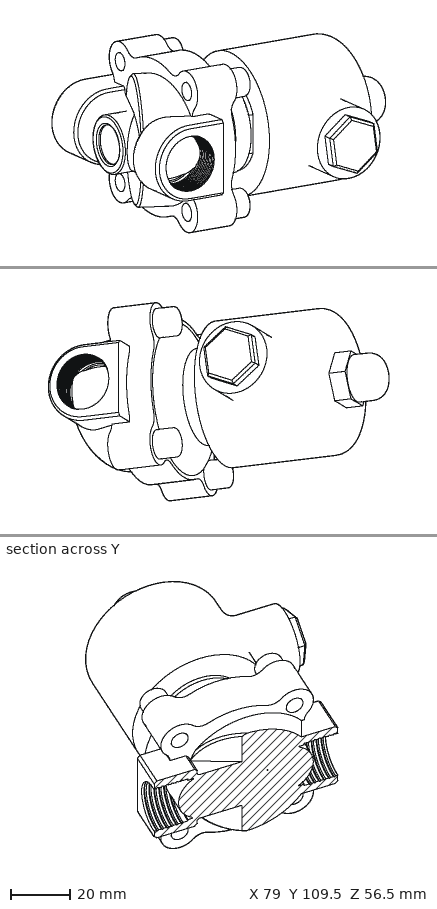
import cadquery as cq
import math


port_end = 34.0
port_start = 18.0
port_radius = 13.25
port_top = 13.2
port_edge_chamfer = 1.0
port_root_fillet = 1.0
pipe_radius = 10.2
bore_radius = 9.6
bore_depth = 12.5
passage_radius = 9.0
thread_pitch = 1.8
thread_depth = 0.4
groove_width = 0.8
thread_count = 6

post_radius = 10.0
post_center_offset = 15.0
post_end = -8.1

flange_bottom = 6.6
flange_top = 22.2
flange_radius = 27.4
lobe_offset = 21.24
lobe_radius = 7.0
lobe_blend_radius = 5.0
screw_hole_radius = 3.1
screw_head_radius = 5.0
screw_head_top = 29.1
screw_head_fillet = 0.8

pipe_top = flange_bottom + 1.0

bowl_radius = 22.6
bowl_tilt = 24.7
bowl_face_y = -1.4
bowl_length = 40.0
bowl_chamfer = 0.8

boss_radius = 10.2
boss_end = -11.5
boss_chamfer = 0.6
recess_radius = 6.8
recess_depth = 1.2
recess_chamfer = 0.6

bonnet_base_radius = 26.0
bonnet_radius = 16.5
bonnet_top = 35.2
neck_radius = 16.0
neck_flat_offset = 14.5

coil_bottom = 37.2
coil_top = 80.1
coil_radius = 25.0
coil_fillet = 5.0
nut_corner_radius = 9.7
nut_top = 86.1
cap_radius = 8.1
cap_top = 96.24
cap_fillet = 5.0

outlet_y = 58.75
outlet_radius = 12.5
outlet_end = 41.0
outlet_fillet = 4.2
gland_end = 45.0
gland_corner_radius = 10.25
gland_turn = 38.0
gland_chamfer = 0.9


def plane_at_y(y):
    """Sketch plane square to Y: local x is X, local y is Z, extrusion runs toward -Y."""
    return cq.Workplane("XZ", origin=(0, y, 0))


def rod_y(radius, start, end):
    return plane_at_y(end).circle(radius).extrude(end - start)


def polar(radius, angle, center=(0.0, 0.0)):
    return (center[0] + radius * math.cos(angle), center[1] + radius * math.sin(angle))


def direction(start, end):
    return math.atan2(end[1] - start[1], end[0] - start[0])


def u_section(radius, top, start, end):
    """U profile, rounded toward -Y and flat at the top, extruded along X."""
    return (
        cq.Workplane("YZ", origin=(start, 0, 0))
        .moveTo(top, -radius)
        .lineTo(0, -radius)
        .threePointArc((-radius, 0), (0, radius))
        .lineTo(top, radius)
        .close()
        .extrude(end - start)
    )


def make_port():
    port = u_section(port_radius, port_top, port_start, port_end)
    rounded_edges = cq.selectors.BoxSelector(
        (port_start - 1, -port_radius - 1, -port_radius - 1),
        (port_end + 1, port_top - 1, port_radius + 1),
    )
    port = port.faces(">X or <X").edges(rounded_edges).chamfer(port_edge_chamfer)
    return port


def make_pipe():
    """Half of the pipe with its port, blended where they meet, and its mirror image."""
    pipe = u_section(pipe_radius, pipe_top, 0, port_end - bore_depth)
    half = pipe.union(make_port())
    junction = cq.selectors.BoxSelector(
        (port_start - 0.1, -pipe_radius - 0.1, -pipe_radius - 0.1),
        (port_start + 0.1, pipe_top + 0.1, pipe_radius + 0.1),
        boundingbox=True,
    )
    half = half.edges(junction).edges("not |Z").fillet(port_root_fillet)
    return half.union(half.mirror("YZ"))


def make_bowl():
    tilt = math.radians(bowl_tilt)
    face = cq.Plane(
        origin=(0, bowl_face_y, 0),
        xDir=(math.cos(tilt), -math.sin(tilt), 0),
        normal=(math.sin(tilt), math.cos(tilt), 0),
    )
    bowl = cq.Workplane(face).circle(bowl_radius).extrude(bowl_length)
    bowl = bowl.faces("<Y").edges().chamfer(bowl_chamfer)
    below_flange = rod_y(2 * bowl_radius, -bowl_length, flange_bottom)
    return bowl.intersect(below_flange)


def make_boss():
    boss = rod_y(boss_radius, boss_end, 0)
    return boss.faces("<Y").edges().chamfer(boss_chamfer)


def make_flange():
    """Round flange blended by concave arcs into a lobe at each corner."""
    lobe_distance = lobe_offset * math.sqrt(2)
    blend_distance = flange_radius + lobe_blend_radius
    blend_to_lobe = lobe_radius + lobe_blend_radius
    blend_angle = math.acos(
        (lobe_distance**2 + blend_distance**2 - blend_to_lobe**2) / (2 * lobe_distance * blend_distance)
    )
    quarter = math.pi / 2
    first_angle = quarter / 2
    outline = plane_at_y(flange_top).moveTo(*polar(flange_radius, first_angle - blend_angle))
    for corner in range(4):
        lobe_angle = first_angle + corner * quarter
        lobe_center = polar(lobe_distance, lobe_angle)
        blend_in = polar(blend_distance, lobe_angle - blend_angle)
        blend_out = polar(blend_distance, lobe_angle + blend_angle)
        in_start = polar(flange_radius, lobe_angle - blend_angle)
        in_end = polar(lobe_radius, direction(lobe_center, blend_in), lobe_center)
        out_start = polar(lobe_radius, direction(lobe_center, blend_out), lobe_center)
        out_end = polar(flange_radius, lobe_angle + blend_angle)
        in_chord_middle = ((in_start[0] + in_end[0]) / 2, (in_start[1] + in_end[1]) / 2)
        out_chord_middle = ((out_start[0] + out_end[0]) / 2, (out_start[1] + out_end[1]) / 2)
        in_middle = polar(lobe_blend_radius, direction(blend_in, in_chord_middle), blend_in)
        out_middle = polar(lobe_blend_radius, direction(blend_out, out_chord_middle), blend_out)
        outline = (
            outline.threePointArc(in_middle, in_end)
            .threePointArc(polar(lobe_distance + lobe_radius, lobe_angle), out_start)
            .threePointArc(out_middle, out_end)
            .threePointArc(
                polar(flange_radius, lobe_angle + first_angle),
                polar(flange_radius, lobe_angle + quarter - blend_angle),
            )
        )
    return outline.close().extrude(flange_top - flange_bottom)


def at_screws(plane):
    return plane.rect(2 * lobe_offset, 2 * lobe_offset, forConstruction=True).vertices()


def make_screw_heads():
    heads = at_screws(plane_at_y(screw_head_top)).circle(screw_head_radius)
    heads = heads.extrude(screw_head_top - flange_top)
    return heads.faces(">Y").edges().fillet(screw_head_fillet)


def make_screw_holes():
    holes = at_screws(plane_at_y(flange_top)).circle(screw_hole_radius)
    return holes.extrude(flange_top - flange_bottom)


def make_bonnet():
    """Cone on the flange, a cylinder above it, then a neck with two flats."""
    cone_and_cylinder = (
        cq.Workplane("XY")
        .moveTo(0, flange_top)
        .lineTo(bonnet_base_radius, flange_top)
        .lineTo(bonnet_radius, screw_head_top)
        .lineTo(bonnet_radius, bonnet_top)
        .lineTo(0, bonnet_top)
        .close()
        .revolve(360, (0, 0), (0, 1))
    )
    neck_height = coil_bottom - bonnet_top
    flats = plane_at_y(coil_bottom).rect(2 * neck_flat_offset, 2 * neck_radius).extrude(neck_height)
    neck = rod_y(neck_radius, bonnet_top, coil_bottom).intersect(flats)
    return cone_and_cylinder.union(neck)


def make_coil():
    coil = rod_y(coil_radius, coil_bottom, coil_top).faces(">Y").edges().fillet(coil_fillet)
    outlet = cq.Workplane("YZ").center(outlet_y, 0).circle(outlet_radius).extrude(outlet_end)
    coil = coil.union(outlet)
    joint = cq.selectors.BoxSelector(
        (0, outlet_y - outlet_radius - 1, -outlet_radius - 1),
        (outlet_end - 1, outlet_y + outlet_radius + 1, outlet_radius + 1),
        boundingbox=True,
    )
    return coil.edges(joint).edges("not #X").edges("not |X").fillet(outlet_fillet)


def make_gland():
    corners = [polar(gland_corner_radius, math.radians(gland_turn + 60 * i)) for i in range(6)]
    gland = cq.Workplane("YZ", origin=(outlet_end, outlet_y, 0)).polyline(corners).close()
    return gland.extrude(gland_end - outlet_end).faces(">X").edges().chamfer(gland_chamfer)


def make_nut_and_cap():
    nut = plane_at_y(nut_top).polygon(6, 2 * nut_corner_radius).extrude(nut_top - coil_top)
    cap = rod_y(cap_radius, nut_top, cap_top).faces(">Y").edges().fillet(cap_fillet)
    return nut.union(cap)


def make_port_bore():
    """Threaded bore of one port: a cylinder with a row of V grooves."""
    profile = cq.Workplane("XY").moveTo(port_end, 0).lineTo(port_end, bore_radius)
    for turn in range(thread_count):
        groove_start = port_end - (turn + 0.5) * thread_pitch
        profile = (
            profile.lineTo(groove_start, bore_radius)
            .lineTo(groove_start - groove_width / 2, bore_radius + thread_depth)
            .lineTo(groove_start - groove_width, bore_radius)
        )
    inner_end = port_end - bore_depth
    profile = profile.lineTo(inner_end, bore_radius).lineTo(inner_end, 0).close()
    return profile.revolve(360, (0, 0), (1, 0))


def make_flow_path():
    """Passage and both port bores, less the seat post that stands in them."""
    passage = cq.Workplane("YZ", origin=(-port_end, 0, 0)).circle(passage_radius).extrude(2 * port_end)
    post_length = 2 * (post_center_offset + post_radius)
    post = plane_at_y(port_radius).slot2D(post_length, 2 * post_radius).extrude(port_radius - post_end)
    bore = make_port_bore()
    return passage.union(bore).union(bore.mirror("YZ")).cut(post)


def make_recess():
    recess = rod_y(recess_radius, boss_end, boss_end + recess_depth)
    rim = plane_at_y(boss_end + recess_chamfer).circle(recess_radius)
    rim = rim.workplane(offset=recess_chamfer).circle(recess_radius + recess_chamfer).loft()
    return recess.union(rim)


body = make_pipe().union(make_bowl()).union(make_boss())
body = body.union(make_flange()).union(make_screw_heads()).union(make_bonnet())
body = body.union(make_coil()).union(make_gland()).union(make_nut_and_cap())
body = body.cut(make_screw_holes()).cut(make_flow_path()).cut(make_recess())

result = body